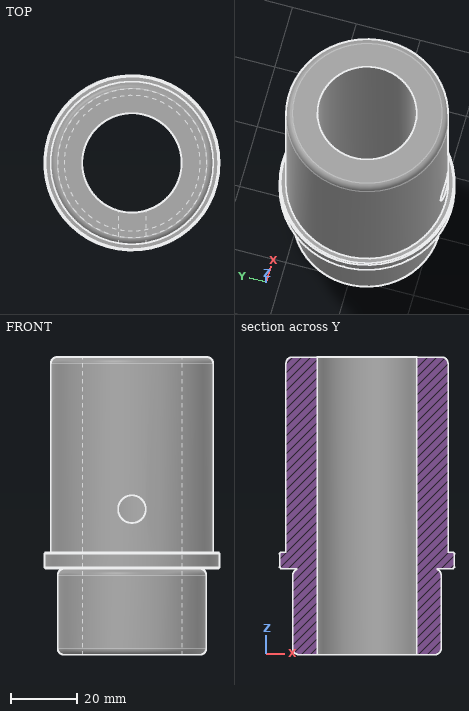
import cadquery as cq

total_height = 90.0
bore_diameter = 30.0
body_diameter = 49.1
flange_diameter = 53.0
spigot_diameter = 45.0
flange_bottom = 26.0
flange_thickness = 5.0
flange_edge_chamfer = 0.45
edge_radius = 2.0
cross_hole_diameter = 8.4
cross_hole_height = 44.0

flange_top = flange_bottom + flange_thickness


def cylinder(diameter, bottom, top):
    """Vertical cylinder between two heights."""
    return cq.Workplane("XY").workplane(offset=bottom).circle(diameter / 2).extrude(top - bottom)


def make_spigot():
    """Lower spigot, rounded at its free end and where it meets the flange."""
    return cylinder(spigot_diameter, 0, flange_bottom).edges().fillet(edge_radius)


def make_cross_hole():
    """Radial hole through the front (-Y) wall only, ending inside the bore."""
    return (
        cq.Workplane("XZ")
        .center(0, cross_hole_height)
        .circle(cross_hole_diameter / 2)
        .extrude(flange_diameter)
    )


body = cylinder(body_diameter, flange_top, total_height).faces(">Z").edges().fillet(edge_radius)
flange = cylinder(flange_diameter, flange_bottom, flange_top).edges().chamfer(flange_edge_chamfer)
bore = cylinder(bore_diameter, 0, total_height)

result = make_spigot().union(flange).union(body).cut(bore).cut(make_cross_hole())